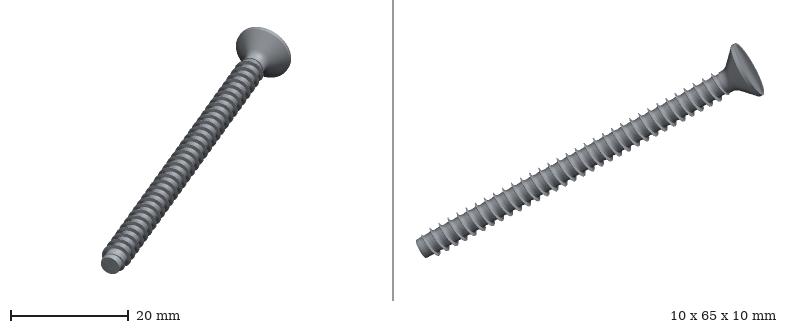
import cadquery as cq
import math

length = 65.0

head_radius = 10.0 / 2
rim_height = 0.65
cone_half_angle = 45.0
neck_radius = 3.95 / 2
neck_fillet = 1.8
neck_end = 4.95

core_radius = 3.6 / 2
tip_radius = 3.45 / 2
tip_taper_length = 0.3
tip_dimple_angle = 5.0

crest_radius = 5.0 / 2
crest_width = 0.05
flank_angle = 15.0
crest_span = 55.8
crest_turns = 31
pitch = crest_span / crest_turns
full_start = 6.05
full_turns = 31.5
fade_turns = 1
fade_offset_share = 0.15

ridge_foot_radius = 1.9
root_depth = 0.02
fade_depth = 0.005
ridge_root_radius = core_radius - root_depth
ridge_fade_radius = core_radius - fade_depth
valley_to_crest = 0.62
crest_to_valley = 1.1


def make_body():
    """Revolve the head, the filleted neck and the plain core about the local Z axis."""
    half_bend = math.radians(cone_half_angle / 2)
    cone_end = rim_height + (head_radius - neck_radius) / math.tan(math.radians(cone_half_angle))
    tangent_length = neck_fillet * math.tan(half_bend)
    fillet_start = (
        neck_radius + tangent_length * math.sin(math.radians(cone_half_angle)),
        cone_end - tangent_length * math.cos(math.radians(cone_half_angle)),
    )
    fillet_end = (neck_radius, cone_end + tangent_length)
    fillet_middle = (
        neck_radius + neck_fillet * (1 - math.cos(half_bend)),
        cone_end + tangent_length - neck_fillet * math.sin(half_bend),
    )
    dimple_depth = tip_radius * math.tan(math.radians(tip_dimple_angle))
    outline = (
        cq.Workplane("XZ")
        .lineTo(head_radius, 0)
        .lineTo(head_radius, rim_height)
        .lineTo(*fillet_start)
        .threePointArc(fillet_middle, fillet_end)
        .lineTo(neck_radius, neck_end)
        .lineTo(core_radius, neck_end)
        .lineTo(core_radius, length - tip_taper_length)
        .lineTo(tip_radius, length)
        .lineTo(0, length - dimple_depth)
        .close()
    )
    return outline.revolve(360, (0, 0, 0), (0, 1, 0))


def ridge_profile():
    """Corners of the ridge as (radius, distance past the crest centre towards the tip)."""
    half_crest = crest_width / 2
    half_foot = half_crest + (crest_radius - ridge_foot_radius) * math.tan(math.radians(flank_angle))
    return [
        (ridge_root_radius, -valley_to_crest),
        (ridge_foot_radius, -half_foot),
        (crest_radius, -half_crest),
        (crest_radius, half_crest),
        (ridge_foot_radius, half_foot),
        (ridge_root_radius, crest_to_valley),
    ]


def helix(start_corner, end_corner, turns):
    """Right-hand helix from +X that drifts from one (radius, offset) corner to another."""
    start_radius, start_offset = start_corner
    end_radius, end_offset = end_corner
    climb = pitch * turns + end_offset - start_offset
    if end_radius == start_radius:
        wire = cq.Wire.makeHelix(climb / turns, climb, start_radius)
    else:
        slant = math.hypot(climb, end_radius - start_radius)
        taper = math.degrees(math.atan2(end_radius - start_radius, climb))
        wire = cq.Wire.makeHelix(slant / turns, slant, start_radius, angle=taper)
    return wire.translate(cq.Vector(0, 0, start_offset))


def make_ridge(start_profile, end_profile, turns):
    """Solid ridge bounded by one helix per profile corner and a flat cap at each end."""
    edges = [helix(start, end, turns) for start, end in zip(start_profile, end_profile)]
    faces = [cq.Face.makeRuledSurface(edges[i - 1], edges[i]) for i in range(len(edges))]
    for end in (0, 1):
        cap_points = [edge.positionAt(end) for edge in edges]
        faces.append(cq.Face.makeFromWires(cq.Wire.makePolygon(cap_points, close=True)))
    return cq.Workplane(cq.Solid.makeSolid(cq.Shell.makeShell(faces)))


def make_fade(profile):
    """Ridge that narrows and sinks into the core."""
    faded = [
        (min(radius, ridge_fade_radius), offset * fade_offset_share)
        for radius, offset in profile
    ]
    return make_ridge(profile, faded, fade_turns)


profile = ridge_profile()
full_thread = make_ridge(profile, profile, full_turns).translate((0, 0, full_start))

mirrored_profile = [(radius, -offset) for radius, offset in profile]
lead_in = (
    make_fade(mirrored_profile)
    .rotate((0, 0, 0), (1, 0, 0), 180)
    .translate((0, 0, full_start))
)
run_out = (
    make_fade(profile)
    .rotate((0, 0, 0), (0, 0, 1), 360 * full_turns)
    .translate((0, 0, full_start + pitch * full_turns))
)

screw = make_body().union(lead_in).union(run_out).union(full_thread)
result = screw.rotate((0, 0, 0), (1, 0, 0), 90)